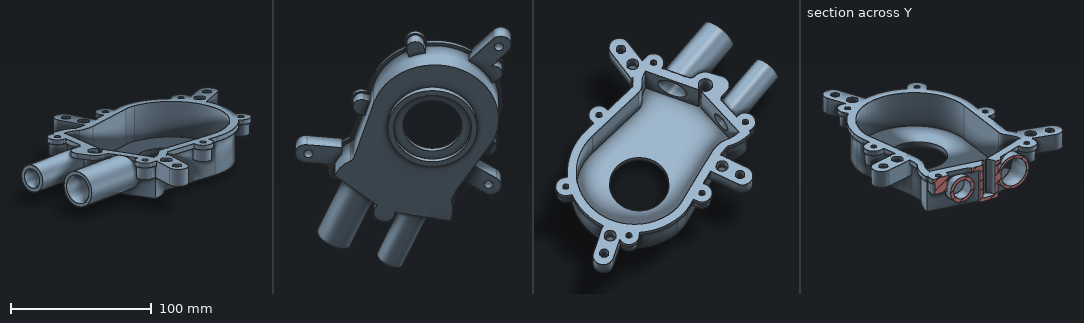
import cadquery as cq
import math

total_height = 34.5
body_height = 29.7
floor_thickness = 3.0
cavity_depth = body_height - floor_thickness
flange_thickness = 3.7
lug_height = 12.8
blind_hole_depth = 10.0

wall_thickness = 4.0
flange_width = 6.5
cavity_radius = 41.4
cavity_center = (0.0, 5.0)
crown_end_angle = 174.0
left_wall_start = (-40.55, 0.1)
left_wall_tilt = 13.2
left_wall_length = 44.3
cavity_left_bend = (-30.9, -56.2)
shell_left_bend = (-29.6, -57.0)
left_flare_radius = 24.0
left_corner = (-34.2, -68.0)
bottom_vertex = (8.2, -74.4)
right_corner = (47.3, -60.0)
right_wall_bend = (42.2, -50.2)
right_wall_tilt = 2.0
right_wall_length = 47.4

inlet_radius = 21.0
hub_radius = 31.65
hub_recess_radius = hub_radius - wall_thickness
hub_web_thickness = 1.0

ear_radius = 7.3
boss_radius = 6.1
pilot_hole_radius = 2.1
ear_reach = 9.0
crown_ears = [(-30.3, 45.1), (28.9, 46.0)]
left_ear = (-46.7, -14.5)
right_ear = (49.0, -12.1)
lower_right_ear = (47.5, -68.8)
lower_left_ear = (-32.4, -77.0)

mounting_arms = [((-57.3, -43.4), 194.0), ((71.9, -61.3), -13.4), ((-26.5, 67.3), 114.4)]
arm_radius = 7.4
mount_hole_radius = 3.2
dowel_hole_radius = 4.15
dowel_spacing = 14.5
arm_tip_offset = 1.9
arm_root_length = 23.3

well_center = (8.3, -80.0)
well_radius = 5.0
well_boss_radius = 7.7
well_flange_radius = 10.3
well_slot_width = 2.4
well_slot_overlap = 1.0
lobe_center = (1.0, -86.5)
lobe_fillet = 3.3
well_fillet = 4.0
pick_tolerance = 0.1

pipe_tilt = 4.0
pipe_length = 58.0
bore_length = 66.0
small_pipe = {"end": (-11.1, -123.8), "z": -14.9, "radius": 10.1, "bore": 7.15}
large_pipe = {"end": (32.0, -120.9), "z": -13.1, "radius": 13.1, "bore": 10.6}


def polar(origin, distance, angle):
    """Point at a distance and an angle in degrees from an origin."""
    a = math.radians(angle)
    return (origin[0] + distance * math.cos(a), origin[1] + distance * math.sin(a))


def heading(start, end):
    """Angle in degrees of the direction from start to end."""
    return math.degrees(math.atan2(end[1] - start[1], end[0] - start[0]))


def cylinder(center, radius, depth, top=0.0):
    """Vertical cylinder that hangs down from the height `top`."""
    return cq.Workplane("XY").workplane(offset=top).center(*center).circle(radius).extrude(-depth)


def chamber_outline(left_bend):
    """Closed chamber outline; the left wall bends outwards at the given point."""
    crown_end = polar(cavity_center, cavity_radius, crown_end_angle)
    left_end = polar(left_wall_start, left_wall_length, left_wall_tilt - 90)
    right_start = polar(cavity_center, cavity_radius, -right_wall_tilt)
    right_end = polar(right_start, right_wall_length, -90 - right_wall_tilt)
    left_side = (
        cq.Workplane("XY")
        .moveTo(*left_wall_start)
        .lineTo(*left_end)
        .tangentArcPoint(left_bend, relative=False)
        .radiusArc(left_corner, -left_flare_radius)
        .lineTo(*bottom_vertex)
        .lineTo(*right_corner)
    )
    right_side = (
        cq.Workplane("XY")
        .moveTo(*right_start)
        .lineTo(*right_end)
        .tangentArcPoint(right_wall_bend, relative=False)
        .tangentArcPoint(right_corner, relative=False)
    )
    crown = (
        cq.Workplane("XY")
        .moveTo(*right_start)
        .threePointArc(polar(cavity_center, cavity_radius, 90), crown_end)
        .tangentArcPoint(left_wall_start, relative=False)
    )
    edges = []
    for path in (left_side, right_side, crown):
        edges += path.ctx.pendingEdges
    return cq.Wire.assembleEdges(edges)


def slab(outline, offset, depth):
    """Plate under Z = 0 whose outline is a chamber outline grown by an offset with sharp corners."""
    plate = cq.Workplane("XY").add(outline).toPending()
    if offset:
        plate = plate.offset2D(offset, "intersection")
    return plate.extrude(-depth)


def tab(center, radius, reach, angle, depth):
    """Round-ended tab: a cylinder with a straight web that runs from its centre along an angle."""
    web = (
        cq.Workplane("XY")
        .rect(reach, 2 * radius)
        .extrude(-depth)
        .translate((reach / 2, 0, 0))
        .rotate((0, 0, 0), (0, 0, 1), angle)
        .translate((center[0], center[1], 0))
    )
    return web.union(cylinder(center, radius, depth))


def screw_ears():
    """Centre and inward direction of each ear, towards the wall it stands on."""
    ears = [(center, heading(center, cavity_center)) for center in crown_ears]
    ears.append((left_ear, left_wall_tilt))
    ears.append((right_ear, 180 - right_wall_tilt))
    ears.append((lower_right_ear, 90.0))
    ears.append((lower_left_ear, heading(left_corner, bottom_vertex) + 90))
    return ears


def mounting_arm(hole, angle):
    """Arm that points along an angle, with its rounded tip just beyond the mounting hole."""
    tip = polar(hole, arm_tip_offset, angle)
    return tab(tip, arm_radius, arm_root_length + arm_tip_offset, angle + 180, lug_height)


def well_lobe():
    """Flange lobe around the drain well: two circles, their common tangent and two straight flanks."""
    span = math.dist(lobe_center, well_center)
    lean = math.degrees(math.asin((well_flange_radius - ear_radius) / span))
    normal = heading(lobe_center, well_center) - 90 - lean
    lobe_left = polar(lobe_center, ear_radius, 180)
    well_right = polar(well_center, well_flange_radius, 0)
    lobe_middle = polar(lobe_center, ear_radius, (normal - 180) / 2)
    lobe_end = polar(lobe_center, ear_radius, normal)
    top_y = bottom_vertex[1]
    return (
        cq.Workplane("XY")
        .moveTo(lobe_left[0], top_y)
        .lineTo(*lobe_left)
        .threePointArc(lobe_middle, lobe_end)
        .lineTo(*polar(well_center, well_flange_radius, normal))
        .threePointArc(polar(well_center, well_flange_radius, normal / 2), well_right)
        .lineTo(well_right[0], top_y)
        .close()
        .extrude(-flange_thickness)
    )


def pipe_rod(pipe, radius, length):
    """Horizontal rod from the free end of a pipe towards the housing."""
    axis = polar((0, 0), 1.0, 90 + pipe_tilt)
    start = cq.Vector(pipe["end"][0], pipe["end"][1], pipe["z"])
    return cq.Workplane(obj=cq.Solid.makeCylinder(radius, length, start, cq.Vector(axis[0], axis[1], 0)))


def fillet_flank(flange, flank_x, radius):
    """Round the inner corner where a straight flank of the lobe meets the flange rim."""
    edges_on_flank = cq.selectors.BoxSelector(
        (flank_x - pick_tolerance, lobe_center[1], -total_height),
        (flank_x + pick_tolerance, bottom_vertex[1], total_height),
    )
    return flange.edges("|Z").edges(edges_on_flank).edges(">Y").fillet(radius)


def rim_flange():
    flange = slab(shell_outline, flange_width, flange_thickness).union(well_lobe())
    flange = fillet_flank(flange, lobe_center[0] - ear_radius, lobe_fillet)
    return fillet_flank(flange, well_center[0] + well_flange_radius, well_fillet)


def drain_well():
    """Round well with a narrow slot that opens into the bottom vertex of the chamber."""
    slot_length = bottom_vertex[1] - well_center[1] + well_slot_overlap
    slot = (
        cq.Workplane("XY")
        .center(well_center[0], well_center[1] + slot_length / 2)
        .rect(well_slot_width, slot_length)
        .extrude(-cavity_depth)
    )
    return cylinder(well_center, well_radius, cavity_depth).union(slot)


def inlet_opening():
    """Bore through the floor that widens to a recess inside the hub."""
    recess_top = -body_height - hub_web_thickness
    recess = cylinder((0, 0), hub_recess_radius, total_height + recess_top, recess_top)
    return cylinder((0, 0), inlet_radius, total_height).union(recess)


shell_outline = chamber_outline(shell_left_bend)
cavity = slab(chamber_outline(cavity_left_bend), 0, cavity_depth)

body = slab(shell_outline, wall_thickness, body_height).union(rim_flange())
body = body.union(cylinder(well_center, well_boss_radius, body_height))
body = body.union(cylinder((0, 0), hub_radius, total_height - cavity_depth, -cavity_depth))
for center, angle in screw_ears():
    body = body.union(tab(center, ear_radius, ear_reach, angle, flange_thickness))
    body = body.union(tab(center, boss_radius, ear_reach, angle, lug_height))
for hole, angle in mounting_arms:
    body = body.union(mounting_arm(hole, angle))
for pipe in (small_pipe, large_pipe):
    body = body.union(pipe_rod(pipe, pipe["radius"], pipe_length))

body = body.cut(cavity)
for pipe in (small_pipe, large_pipe):
    body = body.cut(pipe_rod(pipe, pipe["bore"], bore_length))
for center, _ in screw_ears():
    body = body.cut(cylinder(center, pilot_hole_radius, blind_hole_depth))
for hole, angle in mounting_arms:
    body = body.cut(cylinder(hole, mount_hole_radius, lug_height))
    body = body.cut(cylinder(polar(hole, -dowel_spacing, angle), dowel_hole_radius, blind_hole_depth))
body = body.cut(drain_well())
body = body.cut(inlet_opening())

result = body